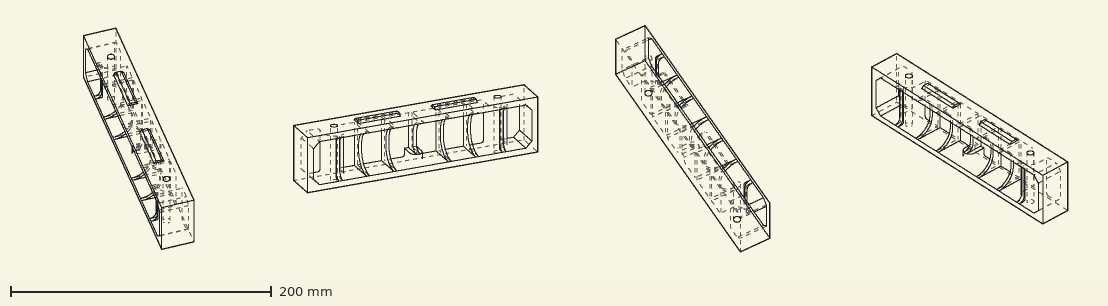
import cadquery as cq

length = 193.3
depth = 26.0
body_height = 46.0
wall = 5.0
back_wall = 2.9

front_y = -depth / 2
floor_y = depth / 2 - back_wall
floor_z = wall
ceiling_z = body_height - wall
cavity_height = ceiling_z - floor_z
cavity_chamfer = 5.0

boss_x = 68.6

rib_pitch = boss_x / 3
rib_width = 2.5
rib_radius = 15.0
wide_rib_width = 3.0
pin_rib_radius = 6.4

boss_diameter = 14.7
hole_diameter = 5.5
boss_rib_radius = 5.0
pin_diameter = 10.0
pin_height = 7.0
boss_fillet = 2.0

rail_x = 32.3
rail_length = 35.2
rail_base_width = 8.1
rail_height = 2.0
rail_top_width = rail_base_width - 2 * rail_height

overlap = 1.0


def make_frame():
    """Block with a chamfered pocket opening to the front."""
    block = cq.Workplane("XY").box(length, depth, body_height, centered=(True, True, False))
    pocket = (
        cq.Workplane("XY")
        .box(length - 2 * wall, floor_y - front_y, cavity_height, centered=(True, False, False))
        .translate((0, front_y, floor_z))
        .edges("|Y")
        .chamfer(cavity_chamfer)
    )
    return block.cut(pocket)


def make_boss(x, diameter, height):
    """Upright U-shaped boss, round at the front and joined to the back wall."""
    radius = diameter / 2
    back_y = floor_y + overlap
    return (
        cq.Workplane("XY")
        .workplane(offset=floor_z)
        .moveTo(x - radius, back_y)
        .lineTo(x - radius, 0)
        .threePointArc((x, -radius), (x + radius, 0))
        .lineTo(x + radius, back_y)
        .close()
        .extrude(height)
    )


def fillet_boss_foot(part, x, diameter, z):
    """Round the joint between a boss and the pocket face at height z."""
    margin = 0.2
    reach = diameter / 2 + margin
    foot = cq.selectors.BoxSelector(
        (x - reach, -reach, z - margin),
        (x + reach, floor_y - margin, z + margin),
    )
    return part.edges(foot).fillet(boss_fillet)


def make_rib(x, width, upper_radius, lower_radius, lower_z):
    """Rib whose front edge sweeps out in an arc at each end."""
    face_y = front_y + upper_radius
    profile = (
        cq.Workplane("YZ")
        .moveTo(floor_y + overlap, lower_z)
        .lineTo(face_y - lower_radius, lower_z)
        .radiusArc((face_y, lower_z + lower_radius), -lower_radius)
        .lineTo(face_y, ceiling_z - upper_radius)
        .radiusArc((front_y, ceiling_z), -upper_radius)
        .lineTo(floor_y + overlap, ceiling_z)
        .close()
    )
    return profile.extrude(width / 2, both=True).translate((x, 0, 0))


def make_rail(x):
    """Trapezoid rail running along X on the top face."""
    base_half = rail_base_width / 2
    top_half = rail_top_width / 2
    rail_top_z = body_height + rail_height
    outline = [
        (-base_half, body_height - overlap),
        (-base_half, body_height),
        (-top_half, rail_top_z),
        (top_half, rail_top_z),
        (base_half, body_height),
        (base_half, body_height - overlap),
    ]
    rail = cq.Workplane("YZ").polyline(outline).close().extrude(rail_length / 2, both=True)
    return rail.translate((x, 0, 0))


result = make_frame()

for side in (-1, 1):
    result = result.union(make_boss(side * boss_x, boss_diameter, cavity_height))
result = result.union(make_boss(0, pin_diameter, pin_height))
for side in (-1, 1):
    for z in (floor_z, ceiling_z):
        result = fillet_boss_foot(result, side * boss_x, boss_diameter, z)
result = fillet_boss_foot(result, 0, pin_diameter, floor_z)

for side in (-1, 1):
    for step in (1, 2):
        rib_x = side * step * rib_pitch
        result = result.union(make_rib(rib_x, rib_width, rib_radius, rib_radius, floor_z))
    result = result.union(
        make_rib(side * boss_x, wide_rib_width, boss_rib_radius, boss_rib_radius, floor_z)
    )
    result = result.union(make_rail(side * rail_x))

result = result.union(
    make_rib(0, wide_rib_width, rib_radius, pin_rib_radius, floor_z + pin_height)
)

holes = (
    cq.Workplane("XY")
    .pushPoints([(-boss_x, 0), (boss_x, 0)])
    .circle(hole_diameter / 2)
    .extrude(body_height)
)
result = result.cut(holes)